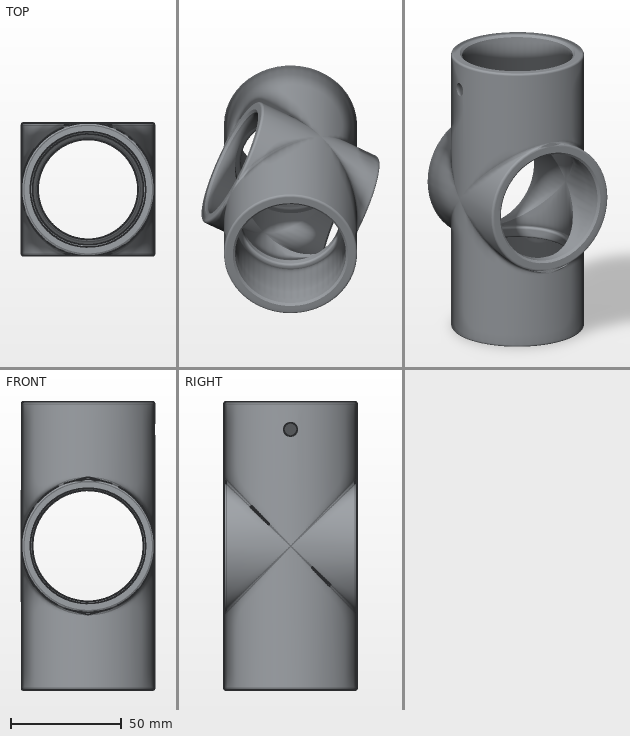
import cadquery as cq

outer_radius = 30.0
main_length = 130.0
cross_length = 2 * outer_radius
bore_radius = 25.0

stop_radius = 22.5
stop_thickness = 5.0
socket_depth = 34.5

rim_radius = 1.0
seam_radius = 1.0
mouth_chamfer = 1.0
stop_edge_radius = 1.0

screw_hole_radius = 3.0
screw_hole_depth = 12.5


def centred_cylinder(axis, radius, length):
    """Cylinder centred on the origin along the Y or Z axis."""
    plane = {"Y": "XZ", "Z": "XY"}[axis]
    return cq.Workplane(plane).circle(radius).extrude(length / 2, both=True)


def cross_rim_tool():
    """Ring of material lying outside the rounded +Y rim of the crossing pipe."""
    end = cross_length / 2
    return (
        cq.Workplane("XY")
        .moveTo(outer_radius, end - rim_radius)
        .lineTo(outer_radius, end)
        .lineTo(outer_radius - rim_radius, end)
        .radiusArc((outer_radius, end - rim_radius), rim_radius)
        .close()
        .revolve(360, (0, 0, 0), (0, 1, 0))
    )


def outer_body():
    """Crossed solid pipes with filleted seams and rounded rims."""
    main_pipe = centred_cylinder("Z", outer_radius, main_length)
    rounded_main = main_pipe.faces(">Z or <Z").edges().fillet(rim_radius)

    long_cross = centred_cylinder("Y", outer_radius, 2 * cross_length)
    pipes = main_pipe.union(long_cross).edges("%ELLIPSE").fillet(seam_radius)
    pipes = pipes.intersect(cq.Workplane("XY").box(main_length, cross_length, main_length))

    rim_tool = cross_rim_tool()
    pipes = pipes.cut(rim_tool).cut(rim_tool.mirror("XZ"))
    pipes = pipes.union(rounded_main)
    return pipes.cut(main_pipe.cut(rounded_main))


def main_bore():
    """Core of the main pipe, narrowed by the two rounded stop rings."""
    stop_bottom = main_length / 2 - socket_depth - stop_thickness
    stop_blank = (
        cq.Workplane("XY")
        .workplane(offset=stop_bottom)
        .circle(bore_radius)
        .circle(stop_radius)
        .extrude(stop_thickness)
    )
    stop_ring = stop_blank.edges(cq.selectors.RadiusNthSelector(0)).fillet(stop_edge_radius)
    core = centred_cylinder("Z", bore_radius, main_length)
    return core.cut(stop_ring).cut(stop_ring.mirror("XY"))


def mouth_tool(axis, length, depth):
    """Cutter for two bores of the given depth, with chamfered mouths."""
    end = length / 2
    profile = [
        (0, end - depth),
        (bore_radius, end - depth),
        (bore_radius, end - mouth_chamfer),
        (bore_radius + mouth_chamfer, end),
        (0, end),
    ]
    one_end = cq.Workplane("XZ").polyline(profile).close().revolve(360, (0, 0, 0), (0, 1, 0))
    both_ends = one_end.union(one_end.mirror("XY"))
    if axis == "Y":
        return both_ends.rotate((0, 0, 0), (1, 0, 0), 90)
    return both_ends


def screw_hole():
    """Radial hole from the main axis out through the +X wall."""
    centre_z = main_length / 2 - screw_hole_depth
    return cq.Workplane("YZ").center(0, centre_z).circle(screw_hole_radius).extrude(2 * outer_radius)


body = outer_body()
body = body.cut(main_bore())
body = body.cut(mouth_tool("Z", main_length, socket_depth))
body = body.cut(mouth_tool("Y", cross_length, cross_length / 2))
result = body.cut(screw_hole())